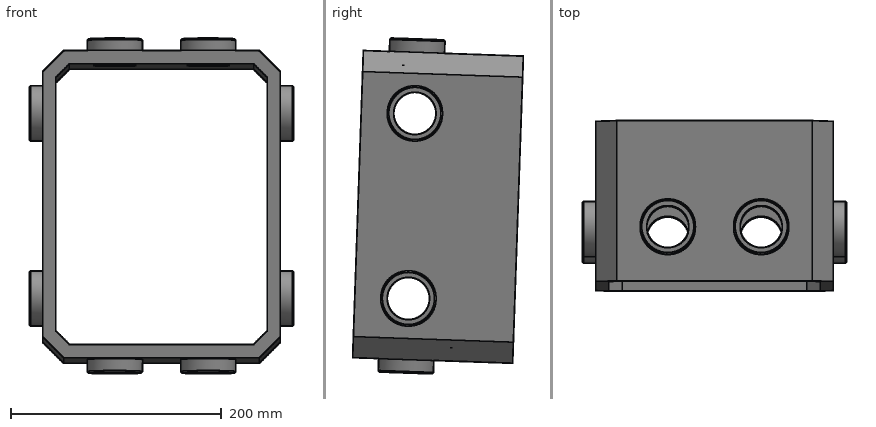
import cadquery as cq

frame_width = 226.0
frame_height = 292.0
frame_depth = 152.2
wall = 12.8
outer_corner = 20.0
inner_corner = 12.8
tilt_angle = 2.0

boss_diameter = 52.5
bore_diameter = 40.0
boss_height = 12.8
boss_chamfer = 1.5
boss_setback = 51.0
top_boss_spacing = 88.7
side_boss_spacing = 175.8

boss_y = boss_setback - frame_depth / 2


def chamfered_block(width, height, corner):
    """Block running the full frame depth, with its four long edges chamfered."""
    return cq.Workplane("XY").box(width, frame_depth, height).edges("|Y").chamfer(corner)


def boss_pair(plane, across_frame, centers):
    """Two cylinders spanning the whole frame, ending in chamfered bosses."""
    length = across_frame + 2 * boss_height
    return (
        cq.Workplane(plane)
        .pushPoints(centers)
        .circle(boss_diameter / 2)
        .extrude(length / 2, both=True)
        .faces("<Z or >Z" if plane == "XY" else "<X or >X")
        .edges()
        .chamfer(boss_chamfer)
    )


def bore_pair(plane, across_frame, centers):
    """Two through bores on the boss axes."""
    length = across_frame + 2 * boss_height
    return cq.Workplane(plane).pushPoints(centers).circle(bore_diameter / 2).extrude(length / 2, both=True)


boss_groups = [
    ("XY", frame_height, [(side * top_boss_spacing / 2, boss_y) for side in (-1, 1)]),
    ("YZ", frame_width, [(boss_y, side * side_boss_spacing / 2) for side in (-1, 1)]),
]

body = chamfered_block(frame_width, frame_height, outer_corner)
for group in boss_groups:
    body = body.union(boss_pair(*group))

body = body.cut(chamfered_block(frame_width - 2 * wall, frame_height - 2 * wall, inner_corner))
for group in boss_groups:
    body = body.cut(bore_pair(*group))

result = body.rotate((0, 0, 0), (1, 0, 0), -tilt_angle)